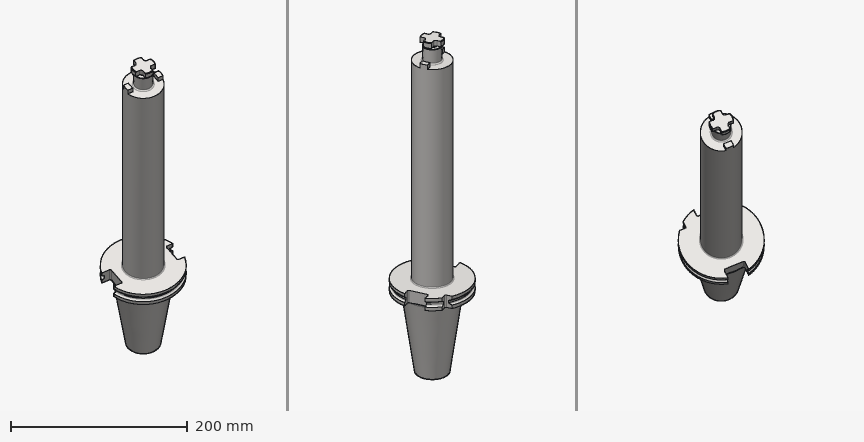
import cadquery as cq
import math


GAUGE_DIAMETER = 69.85
TAPER_RATIO = 7 / 24
TAPER_LENGTH = 101.75
TAPER_END_CHAMFER = 1.5

FLANGE_DIAMETER = 97.5
FLANGE_BOTTOM = 3.2
FLANGE_TOP = 19.1
GROOVE_ROOT_DIAMETER = 91.25
NECK_FILLET = 1.2
GROOVE_CENTRE = 11.1
GROOVE_WIDTH = 7.0
GROOVE_FLANK_ANGLE = 30.0
GROOVE_FILLET = 1.0
SLOT_WIDTH = 25.7
FRONT_SLOT_DISTANCE = 35.5
BACK_SLOT_DISTANCE = 37.7
NOTCH_DISTANCE = 30.0
CUT_CORNER_FILLET = 1.5

ARBOR_DIAMETER = 47.5
ARBOR_TOP = 300.0
ARBOR_FILLET = 1.0
SPIGOT_DIAMETER = 22.0
SPIGOT_LENGTH = 19.0
SPIGOT_CHAMFER = 0.5
SPIGOT_FILLET = 1.5

KEY_WIDTH = 9.6
KEY_HEIGHT = 5.6
KEY_INNER_DISTANCE = 16.8

SCREW_TOP = 329.0
HEAD_HEIGHT = 7.0
HEAD_DIAMETER = 28.0
HEAD_ARM_WIDTH = 10.0
HEAD_CORNER_FILLET = 3.0
HEAD_CHAMFER = 0.8
SCREW_NECK_DIAMETER = 12.0

FLANGE_RADIUS = FLANGE_DIAMETER / 2
ARBOR_RADIUS = ARBOR_DIAMETER / 2
SPIGOT_TOP = ARBOR_TOP + SPIGOT_LENGTH


def cylinder(diameter, bottom, top):
    return cq.Workplane("XY").workplane(offset=bottom).circle(diameter / 2).extrude(top - bottom)


def block(x_range, y_range, z_range):
    (x0, x1), (y0, y1), (z0, z1) = x_range, y_range, z_range
    return cq.Workplane("XY").box(x1 - x0, y1 - y0, z1 - z0, centered=False).translate((x0, y0, z0))


def root_fillet(shaft_radius, face_height, rise):
    """Concave ring where a shaft meets a flat face; a negative rise goes below the face."""
    size = abs(rise)
    outer_radius = shaft_radius + size
    far_height = face_height + rise
    arc_share = 1 - math.sqrt(0.5)
    arc_middle = (shaft_radius + size * arc_share, face_height + rise * arc_share)
    return (
        cq.Workplane("XZ")
        .moveTo(shaft_radius - size, face_height)
        .lineTo(outer_radius, face_height)
        .threePointArc(arc_middle, (shaft_radius, far_height))
        .lineTo(shaft_radius - size, far_height)
        .close()
        .revolve(360, (0, 0, 0), (0, 1, 0))
    )


def make_shank():
    """Taper, neck and grooved flange turned about Z, with the flange cut-outs and neck fillet."""
    gauge_radius = GAUGE_DIAMETER / 2
    end_radius = gauge_radius - TAPER_LENGTH * TAPER_RATIO / 2
    root_radius = GROOVE_ROOT_DIAMETER / 2
    mouth_half = GROOVE_WIDTH / 2
    flank_rise = (FLANGE_RADIUS - root_radius) * math.tan(math.radians(GROOVE_FLANK_ANGLE))
    root_half = mouth_half - flank_rise
    chamfer_radius = end_radius + TAPER_END_CHAMFER * TAPER_RATIO / 2
    outline = [
        (0, -TAPER_LENGTH),
        (end_radius - TAPER_END_CHAMFER, -TAPER_LENGTH),
        (chamfer_radius, TAPER_END_CHAMFER - TAPER_LENGTH),
        (gauge_radius, 0),
        (gauge_radius, FLANGE_BOTTOM),
        (FLANGE_RADIUS, FLANGE_BOTTOM),
        (FLANGE_RADIUS, GROOVE_CENTRE - mouth_half),
        (root_radius, GROOVE_CENTRE - root_half),
        (root_radius, GROOVE_CENTRE + root_half),
        (FLANGE_RADIUS, GROOVE_CENTRE + mouth_half),
        (FLANGE_RADIUS, FLANGE_TOP),
        (0, FLANGE_TOP),
    ]
    body = cq.Workplane("XZ").polyline(outline).close().revolve(360, (0, 0, 0), (0, 1, 0))
    groove_root = cq.selectors.BoxSelector(
        (-FLANGE_RADIUS, -FLANGE_RADIUS, GROOVE_CENTRE - (mouth_half + root_half) / 2),
        (FLANGE_RADIUS, FLANGE_RADIUS, GROOVE_CENTRE + (mouth_half + root_half) / 2),
    )
    body = body.edges("%CIRCLE").edges(groove_root).fillet(GROOVE_FILLET)
    return body.cut(make_flange_cuts()).union(root_fillet(gauge_radius, FLANGE_BOTTOM, -NECK_FILLET))


def make_flange_cuts():
    """Two unequal drive slots and the corner orientation notch, with rounded inner corners."""
    heights = (FLANGE_BOTTOM, FLANGE_TOP)
    slot_x = (-SLOT_WIDTH / 2, SLOT_WIDTH / 2)
    front = block(slot_x, (-FLANGE_RADIUS, -FRONT_SLOT_DISTANCE), heights)
    front = front.edges("|Z and >Y").fillet(CUT_CORNER_FILLET)
    back = block(slot_x, (BACK_SLOT_DISTANCE, FLANGE_RADIUS), heights)
    back = back.edges("|Z and <Y").fillet(CUT_CORNER_FILLET)
    notch = block((-FLANGE_RADIUS, -NOTCH_DISTANCE), (NOTCH_DISTANCE, FLANGE_RADIUS), heights)
    notch = notch.edges("|Z and >X and <Y").fillet(CUT_CORNER_FILLET)
    return front.union(back).union(notch)


def make_arbor():
    """Arbor and its chamfered spigot, each with a filleted root."""
    body = cylinder(ARBOR_DIAMETER, FLANGE_TOP, ARBOR_TOP)
    body = body.union(root_fillet(ARBOR_RADIUS, FLANGE_TOP, ARBOR_FILLET))
    spigot = cylinder(SPIGOT_DIAMETER, ARBOR_TOP, SPIGOT_TOP).faces(">Z").chamfer(SPIGOT_CHAMFER)
    spigot = spigot.union(root_fillet(SPIGOT_DIAMETER / 2, ARBOR_TOP, SPIGOT_FILLET))
    return body.union(spigot)


def make_keys():
    """Two opposite drive keys, rounded off flush with the arbor."""
    heights = (ARBOR_TOP, ARBOR_TOP + KEY_HEIGHT)
    key_x = (-KEY_WIDTH / 2, KEY_WIDTH / 2)
    front = block(key_x, (-ARBOR_RADIUS, -KEY_INNER_DISTANCE), heights)
    back = block(key_x, (KEY_INNER_DISTANCE, ARBOR_RADIUS), heights)
    return front.union(back).intersect(cylinder(ARBOR_DIAMETER, *heights))


def make_screw():
    """Neck and cross-shaped head of the clamping screw."""
    head_bottom = SCREW_TOP - HEAD_HEIGHT
    neck = cylinder(SCREW_NECK_DIAMETER, SPIGOT_TOP, SCREW_TOP)
    arm = cq.Workplane("XY").workplane(offset=head_bottom).rect(HEAD_DIAMETER, HEAD_ARM_WIDTH)
    arm = arm.extrude(HEAD_HEIGHT)
    cross = arm.union(arm.rotate((0, 0, 0), (0, 0, 1), 90))
    inner_corners = cq.selectors.BoxSelector(
        (-HEAD_ARM_WIDTH, -HEAD_ARM_WIDTH, head_bottom),
        (HEAD_ARM_WIDTH, HEAD_ARM_WIDTH, SCREW_TOP),
    )
    cross = cross.edges("|Z").edges(inner_corners).fillet(HEAD_CORNER_FILLET)
    envelope = cylinder(HEAD_DIAMETER, head_bottom, SCREW_TOP).faces(">Z").chamfer(HEAD_CHAMFER)
    head = cross.intersect(envelope)
    return neck.union(head)


result = make_shank().union(make_arbor()).union(make_keys()).union(make_screw())